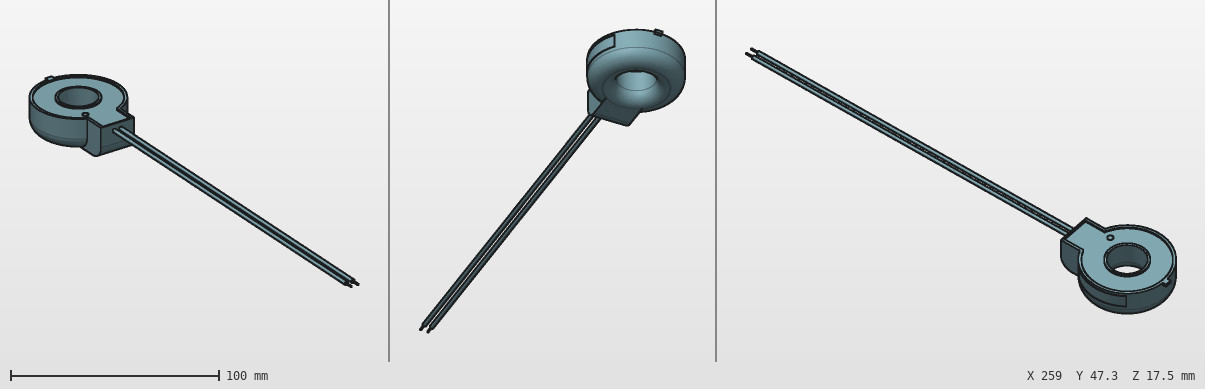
import cadquery as cq
import math

total_length = 259.0
housing_radius = 23.5
housing_height = 17.5
bottom_round = 7.0
bore_radius = 9.8
bore_round = 6.2
outlet_end = 33.2
outlet_width = 19.5

wall = 1.5
end_wall = 0.8
collar = 1.3
recess_depth = 0.8

tab_reach = 25.5
tab_width = 3.5
tab_height = 1.5

pip_x = 16.0
pip_y = -7.0
pip_radius = 1.5
pip_height = 0.3

label_half_angle = math.radians(38)
label_top = -1.5
label_height = 7.0
label_thickness = 0.3

lead_spacing = 4.0
lead_radius = 1.0
lead_drop = 3.5
core_radius = 0.4
core_length = 4.1
core_end = total_length - tab_reach
lead_end = core_end - core_length


def disc(radius, depth, top=0.0):
    """Upright cylinder about the bore axis, reaching down from the given top."""
    return cq.Workplane("XY").workplane(offset=top).circle(radius).extrude(-depth)


def outlet_block(end, width, depth):
    """Block from the bore axis out to X = end, reaching down from the rim."""
    return cq.Workplane("XY").center(end / 2, 0).rect(end, width).extrude(-depth)


def make_housing():
    cup = disc(housing_radius, housing_height).faces("<Z").edges().fillet(bottom_round)
    outlet = outlet_block(outlet_end, outlet_width, housing_height)
    outlet = outlet.faces("<Z").edges(">X").fillet(bottom_round)
    return cup.union(outlet)


def make_bore():
    """Through bore that flares out in a quarter round at the bottom."""
    flare_top = bore_round - housing_height
    return (
        cq.Workplane("XZ")
        .lineTo(bore_radius, 0)
        .lineTo(bore_radius, flare_top)
        .radiusArc((bore_radius + bore_round, -housing_height), -bore_round)
        .lineTo(0, -housing_height)
        .close()
        .revolve(360, (0, 0), (0, 1))
    )


def make_recess():
    floor = disc(housing_radius - wall, recess_depth)
    outlet_floor = outlet_block(outlet_end - end_wall, outlet_width - 2 * wall, recess_depth)
    return floor.union(outlet_floor).cut(disc(bore_radius + collar, recess_depth))


def make_pip():
    top = pip_height - recess_depth
    return disc(pip_radius, pip_height, top).translate((pip_x, pip_y, 0))


def make_label():
    ring = disc(housing_radius + label_thickness, label_height, label_top)
    ring = ring.cut(disc(housing_radius - wall, label_height, label_top))
    reach = 2 * housing_radius
    half_width = reach * math.tan(label_half_angle)
    sector = cq.Workplane("XY").polyline([(0, 0), (half_width, reach), (-half_width, reach)]).close()
    return ring.intersect(sector.extrude(-housing_height))


def make_tab():
    length = tab_reach - housing_radius + wall
    tab = cq.Workplane("XY").center(length / 2 - tab_reach, 0)
    return tab.rect(length, tab_width).extrude(-tab_height)


def make_lead(y):
    """Insulated lead with its bare core, rooted in the end wall of the outlet."""
    root = outlet_end - end_wall
    axis = cq.Workplane("YZ", origin=(root, y, -lead_drop))
    lead = axis.circle(lead_radius).extrude(lead_end - root)
    return lead.union(axis.circle(core_radius).extrude(core_end - root))


result = make_housing().cut(make_bore()).cut(make_recess())
result = result.union(make_tab()).union(make_label()).union(make_pip())
for side in (-1, 1):
    result = result.union(make_lead(side * lead_spacing / 2))